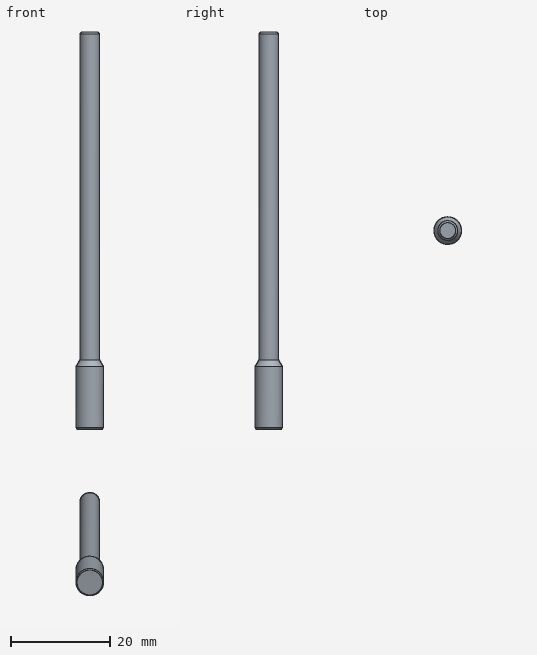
import cadquery as cq
import math

total_length = 80.0
rod_diameter = 4.0
head_diameter = 5.58

head_height = 14.0

taper_angle = math.radians(30)

rod_tip_chamfer = 0.4
head_edge_break_height = 0.4

bottom_z = -total_length / 2
rod_radius = rod_diameter / 2
head_radius = head_diameter / 2
cone_height = (head_radius - rod_radius) / math.tan(taper_angle)
head_shoulder_height = head_height - cone_height
head_bottom_radius = head_radius - head_edge_break_height * math.tan(taper_angle)


def make_head():
    """Thick head with a tapered bottom edge and a cone that narrows to the rod."""
    return (
        cq.Workplane("XZ", origin=(0, 0, bottom_z))
        .moveTo(0, 0)
        .lineTo(head_bottom_radius, 0)
        .lineTo(head_radius, head_edge_break_height)
        .lineTo(head_radius, head_shoulder_height)
        .lineTo(rod_radius, head_height)
        .lineTo(0, head_height)
        .close()
        .revolve(360, (0, 0, 0), (0, 1, 0))
    )


def make_rod():
    """Slender rod that stands on the flat top of the head, with a chamfered tip."""
    return (
        cq.Workplane("XY", origin=(0, 0, bottom_z + head_height))
        .circle(rod_radius)
        .extrude(total_length - head_height)
        .faces(">Z")
        .chamfer(rod_tip_chamfer)
    )


head = make_head()
rod = make_rod()

result = cq.Compound.makeCompound([head.val(), rod.val()])